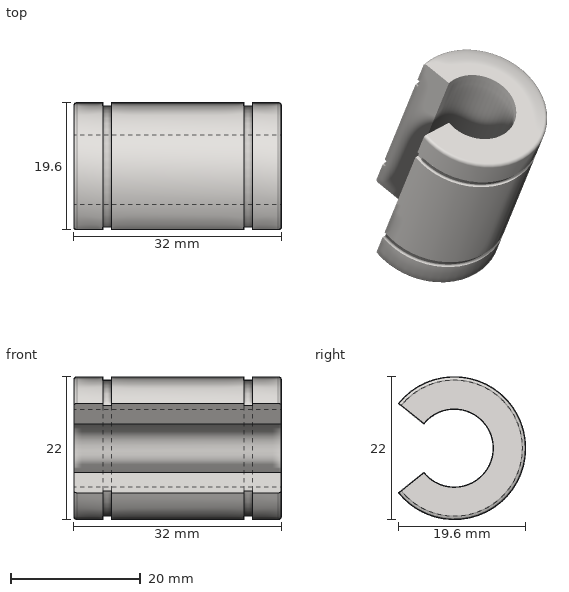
import cadquery as cq
import math

length = 32.0
outer_diameter = 22.0
bore_diameter = 12.0
opening_angle = 77.5
edge_radius = 0.5

groove_width = 1.3
groove_span = 23.0
groove_diameter = 21.0

outer_radius = outer_diameter / 2


def cylinder(diameter, x_start, x_length):
    """Cylinder on the X axis, growing toward +X from x_start."""
    return cq.Workplane("YZ", origin=(x_start, 0, 0)).circle(diameter / 2).extrude(x_length)


def retaining_groove(x_start):
    """Ring that cuts one retaining-ring groove."""
    core = cylinder(groove_diameter, x_start, groove_width)
    return cylinder(2 * outer_diameter, x_start, groove_width).cut(core)


def slot_wedge():
    """Wedge from the axis toward -Y whose sides form the radial slot walls."""
    depth = 2 * outer_radius
    half_height = depth * math.tan(math.radians(opening_angle / 2))
    return (
        cq.Workplane("YZ", origin=(-length / 2, 0, 0))
        .polyline([(0, 0), (-depth, half_height), (-depth, -half_height)])
        .close()
        .extrude(length)
    )


body = cylinder(outer_diameter, -length / 2, length).faces("<X or >X").edges().fillet(edge_radius)
body = body.cut(cylinder(bore_diameter, -length / 2, length))

for groove_start in (-groove_span / 2, groove_span / 2 - groove_width):
    body = body.cut(retaining_groove(groove_start))

result = body.cut(slot_wedge())